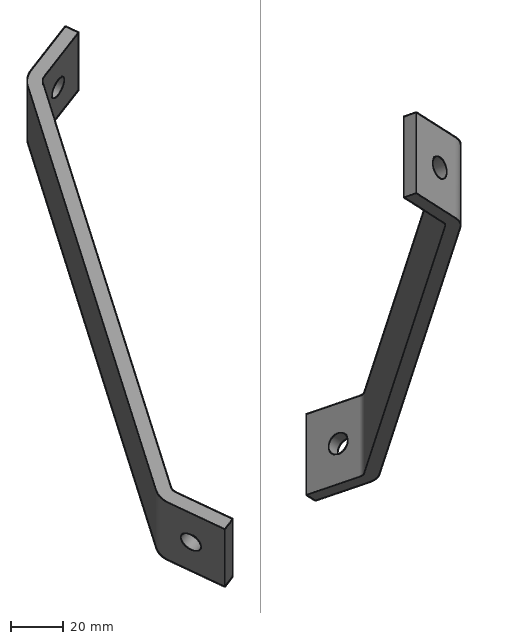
import cadquery as cq
import math

span = 180.0
height = 35.0
thickness = 6.0
tab_length = 25.4
outer_bend_radius = 10.0
hole_diameter = 9.0
hole_to_tab_end = 15.1
bend_angle = 45.0

inner_bend_radius = outer_bend_radius - thickness
bend_start = span - tab_length
tab_hole_place = span - hole_to_tab_end


def bend_point(radius, angle):
    """Point on the bend beside the Y tab, turned by angle from the tab."""
    turn = math.radians(angle)
    return (
        outer_bend_radius - radius * math.cos(turn),
        bend_start - radius * math.sin(turn),
    )


def mirrored(point):
    """Reflect a point in the strip's symmetry line, y = x."""
    return (point[1], point[0])


def bend_points(radius):
    """Start, middle and end of the bend beside the Y tab."""
    return [bend_point(radius, angle) for angle in (0, bend_angle / 2, bend_angle)]


outer_start, outer_middle, outer_end = bend_points(outer_bend_radius)
inner_start, inner_middle, inner_end = bend_points(inner_bend_radius)

strip = (
    cq.Workplane("XY")
    .moveTo(0, span)
    .lineTo(*outer_start)
    .threePointArc(outer_middle, outer_end)
    .lineTo(*mirrored(outer_end))
    .threePointArc(mirrored(outer_middle), mirrored(outer_start))
    .lineTo(span, 0)
    .lineTo(span, thickness)
    .lineTo(*mirrored(inner_start))
    .threePointArc(mirrored(inner_middle), mirrored(inner_end))
    .lineTo(*inner_end)
    .threePointArc(inner_middle, inner_start)
    .lineTo(thickness, span)
    .close()
    .extrude(height)
)


def tab_hole(center, direction):
    """Cutter for a hole straight through one end tab."""
    return cq.Workplane(
        cq.Solid.makeCylinder(
            hole_diameter / 2, thickness, cq.Vector(*center), cq.Vector(*direction)
        )
    )


hole_height = height / 2
x_tab_hole = tab_hole((tab_hole_place, 0, hole_height), (0, 1, 0))
y_tab_hole = tab_hole((0, tab_hole_place, hole_height), (1, 0, 0))

result = strip.cut(x_tab_hole).cut(y_tab_hole)